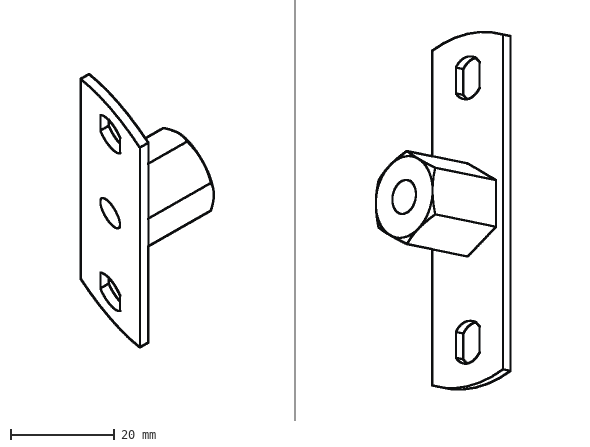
import cadquery as cq
import math

plate_width = 20.0
plate_length = 70.0
plate_thickness = 2.0
end_rise = 1.75

bore_diameter = 6.65
slot_round_diameter = 8.4
slot_width = bore_diameter
slot_offset = 26.25

total_depth = 19.0
nut_height = total_depth - plate_thickness
hex_across_flats = 16.0
hex_across_corners = hex_across_flats / math.cos(math.pi / 6)
chamfer_angle = math.radians(30)
chamfer_radial = (hex_across_corners - hex_across_flats) / 2
chamfer_height = chamfer_radial * math.tan(chamfer_angle)


def make_plate():
    """Strip with straight sides and gently arched ends."""
    half_width = plate_width / 2
    half_length = plate_length / 2
    corner_z = half_length - end_rise
    return (
        cq.Workplane("XZ")
        .moveTo(-half_width, -corner_z)
        .threePointArc((0, -half_length), (half_width, -corner_z))
        .lineTo(half_width, corner_z)
        .threePointArc((0, half_length), (-half_width, corner_z))
        .close()
        .extrude(-plate_thickness)
    )


def make_slot(center_z):
    """Cutter: a round hole flattened on its two sides."""
    disc = cq.Workplane("XZ").center(0, center_z).circle(slot_round_diameter / 2).extrude(-plate_thickness)
    band = (
        cq.Workplane("XZ")
        .center(0, center_z)
        .rect(slot_width, slot_round_diameter)
        .extrude(-plate_thickness)
    )
    return disc.intersect(band)


def make_nut():
    """Hexagonal prism with corners along Z, its free end trimmed by a cone."""
    prism = (
        cq.Workplane("XZ", origin=(0, plate_thickness, 0))
        .polygon(6, hex_across_corners)
        .extrude(-nut_height)
        .rotate((0, 0, 0), (0, 1, 0), 90)
    )
    envelope = (
        cq.Workplane("XZ", origin=(0, plate_thickness, 0))
        .circle(hex_across_corners / 2)
        .extrude(-nut_height)
        .faces(">Y")
        .chamfer(chamfer_height, chamfer_radial)
    )
    return prism.intersect(envelope)


body = make_plate().union(make_nut())
for slot_z in (-slot_offset, slot_offset):
    body = body.cut(make_slot(slot_z))

bore = cq.Workplane("XZ").circle(bore_diameter / 2).extrude(-total_depth)
result = body.cut(bore)